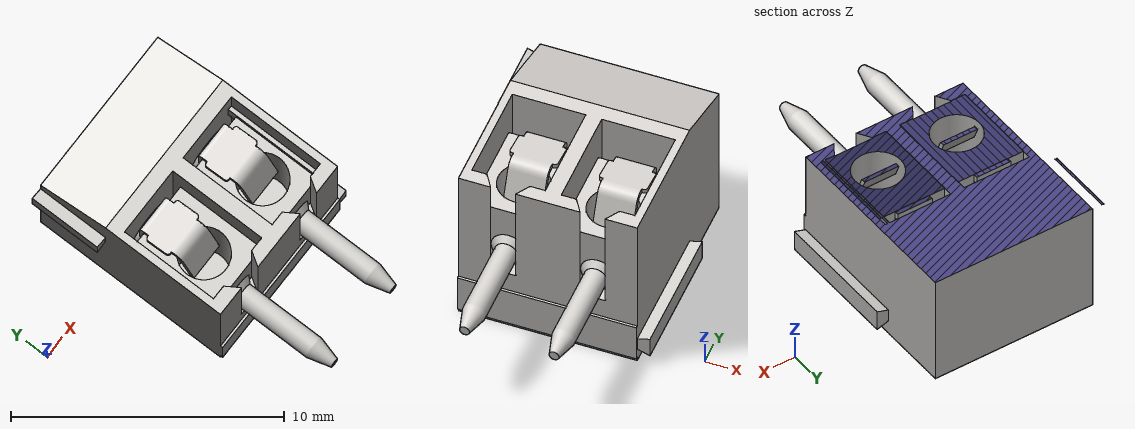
import cadquery as cq
import math


width = 7.0
height = 7.0
length = 8.3
slope_length = 3.0
slope_drop = 1.0
lip_thickness = 0.1
lip_bottom = 0.2
lip_top = 1.83

rail_depth = 0.5
rail_root_height = 0.54
rail_outer_height = 0.88
upper_rail_z = 5.15
lower_rail_z = 0.88

pitch = 3.5
pole_positions = (-pitch / 2, pitch / 2)
pocket_width = 2.88
pocket_length = 4.1
front_wall = 0.56
pocket_back = front_wall + pocket_length
slot_outer_width = 0.98
slot_inner_width = 1.68
slot_bottom = 2.7

cage_top = 5.33
screw_gap = 0.35
cage_back = pocket_back - screw_gap
axis_z = 3.4
cage_bottom = 2 * axis_z - cage_top
wire_hole_radius = 1.0
wire_hole_y = 2.11
screw_radius = 1.0
pin_radius = 0.45
pin_tip_radius = 0.2
pin_collar_radius = 0.68
pin_reach = 3.9
pin_taper_length = 0.94

leaf_thickness = 0.18
leaf_width = 1.52
wing_width = 1.88
wing_front = 3.03
wing_back = 4.09
wing_corner_radius = 0.12
plate_rise = math.radians(7)
tongue_dip = math.radians(68)
bend_radius = 0.46
hook_radius = 0.26
crest_z = 5.76
bend_y = 2.89
leaf_end_y = 1.98
leg_bottom = axis_z + screw_radius


def box(x_min, x_max, y_min, y_max, z_min, z_max):
    """Box between the given limits."""
    size = (x_max - x_min, y_max - y_min, z_max - z_min)
    return cq.Workplane("XY").box(*size, centered=False).translate((x_min, y_min, z_min))


def rail(root_x, outer_x, centre_z, y_min, y_max):
    """Dovetail bar along Y, narrow at root_x and wide at outer_x."""
    half_root = rail_root_height / 2
    half_outer = rail_outer_height / 2
    outline = [
        (root_x, centre_z - half_root),
        (outer_x, centre_z - half_outer),
        (outer_x, centre_z + half_outer),
        (root_x, centre_z + half_root),
    ]
    section = cq.Workplane("XZ", origin=(0, y_min, 0)).polyline(outline).close()
    return section.extrude(y_min - y_max)


def inner_ledge():
    """Dovetail ledge along the +X wall, standing into the pocket beside it."""
    return rail(width / 2, width / 2 - rail_depth, upper_rail_z, front_wall, pocket_back)


def pocket(x):
    """Cavity for the cage of one pole, open at the top."""
    half = pocket_width / 2
    return box(x - half, x + half, front_wall, pocket_back, cage_bottom, height)


def pin_slot(x):
    """Slot through the front wall, widening inward, open at the top."""
    half_outer = slot_outer_width / 2
    half_inner = slot_inner_width / 2
    outline = [
        (x - half_outer, 0),
        (x + half_outer, 0),
        (x + half_inner, front_wall),
        (x - half_inner, front_wall),
    ]
    section = cq.Workplane("XY", origin=(0, 0, slot_bottom)).polyline(outline).close()
    return section.extrude(height - slot_bottom)


def make_housing():
    side_outline = [
        (0, 0),
        (length, 0),
        (length, height - slope_drop),
        (length - slope_length, height),
        (0, height),
    ]
    half = width / 2
    body = cq.Workplane("YZ", origin=(-half, 0, 0)).polyline(side_outline).close().extrude(width)
    for x in pole_positions:
        body = body.cut(pocket(x)).cut(pin_slot(x))

    rail_split_y = length - slope_length
    body = body.union(box(-half, half, -lip_thickness, 0, lip_bottom, lip_top))
    body = body.union(rail(-half, -half - rail_depth, upper_rail_z, rail_split_y, length))
    body = body.union(rail(half, half + rail_depth, lower_rail_z, 0, rail_split_y))
    return body.union(inner_ledge())


def make_terminal(x):
    """Cage with its wire hole, the screw behind it and the tapered pin in front."""
    half = pocket_width / 2
    cage = box(x - half, x + half, front_wall, cage_back, cage_bottom, cage_top)
    wire_hole = (
        cq.Workplane("XY", origin=(x, wire_hole_y, cage_bottom))
        .circle(wire_hole_radius)
        .extrude(cage_top - cage_bottom)
    )
    screw = cq.Workplane("XZ", origin=(x, cage_back, axis_z)).circle(screw_radius).extrude(-screw_gap)
    collar_length = pin_collar_radius - pin_radius
    pin_outline = [
        (front_wall, 0),
        (front_wall, pin_collar_radius),
        (front_wall - collar_length, pin_radius),
        (pin_taper_length - pin_reach, pin_radius),
        (-pin_reach, pin_tip_radius),
        (-pin_reach, 0),
    ]
    pin = (
        cq.Workplane("YZ")
        .polyline(pin_outline)
        .close()
        .revolve(360, (0, 0, 0), (1, 0, 0))
        .translate((x, 0, axis_z))
    )
    return cage.cut(wire_hole).cut(inner_ledge()).union(screw).union(pin)


def make_leaf(x):
    """Bent strip: leg behind the cage, hook, rising winged plate, bend and tongue."""

    def around(centre, radius, angle):
        """Point (y, z) on an arc, with the angle measured from +Z toward -Y."""
        return (centre[0] - radius * math.sin(angle), centre[1] + radius * math.cos(angle))

    bend_centre = (bend_y, crest_z - bend_radius)
    hook_y = cage_back + leaf_thickness - hook_radius
    plate_start = around(bend_centre, bend_radius, -plate_rise)
    hook_top_y = hook_y + hook_radius * math.sin(plate_rise)
    hook_top_z = plate_start[1] - (hook_top_y - plate_start[0]) * math.tan(plate_rise)
    hook_centre = (hook_y, hook_top_z - hook_radius * math.cos(plate_rise))

    tongue_run = around(bend_centre, bend_radius, tongue_dip)[0] - leaf_end_y
    tongue_drop = tongue_run * math.tan(tongue_dip)

    def face_points(depth):
        """Corner and mid-arc points of the strip face that lies this deep below the top face."""
        bend = bend_radius - depth
        hook = hook_radius - depth
        tongue_start = around(bend_centre, bend, tongue_dip)
        return {
            "leg_end": (hook_y + hook, leg_bottom),
            "hook_start": (hook_y + hook, hook_centre[1]),
            "hook_mid": around(hook_centre, hook, -(math.pi / 2 + plate_rise) / 2),
            "hook_end": around(hook_centre, hook, -plate_rise),
            "bend_start": around(bend_centre, bend, -plate_rise),
            "bend_mid": around(bend_centre, bend, (tongue_dip - plate_rise) / 2),
            "bend_end": tongue_start,
            "tongue_end": (tongue_start[0] - tongue_run, tongue_start[1] - tongue_drop),
        }

    top = face_points(0)
    under = face_points(leaf_thickness)
    profile = (
        cq.Workplane("YZ", origin=(x, 0, 0))
        .moveTo(*top["leg_end"])
        .lineTo(*top["hook_start"])
        .threePointArc(top["hook_mid"], top["hook_end"])
        .lineTo(*top["bend_start"])
        .threePointArc(top["bend_mid"], top["bend_end"])
        .lineTo(*top["tongue_end"])
        .lineTo(*under["tongue_end"])
        .lineTo(*under["bend_end"])
        .threePointArc(under["bend_mid"], under["bend_start"])
        .lineTo(*under["hook_end"])
        .threePointArc(under["hook_mid"], under["hook_start"])
        .lineTo(*under["leg_end"])
        .close()
    )
    half_leaf = leaf_width / 2
    half_wing = wing_width / 2
    strip_area = box(x - half_leaf, x + half_leaf, 0, pocket_back, 0, height)
    wing_area = (
        box(x - half_wing, x + half_wing, wing_front, wing_back, cage_top, height)
        .edges("|Z")
        .fillet(wing_corner_radius)
    )
    return profile.extrude(half_wing, both=True).intersect(strip_area.union(wing_area))


housing = make_housing()
terminals = [make_terminal(x) for x in pole_positions]
leaves = [make_leaf(x) for x in pole_positions]

result = cq.Compound.makeCompound(
    [housing.val(), *[terminal.val() for terminal in terminals], *[leaf.val() for leaf in leaves]]
)